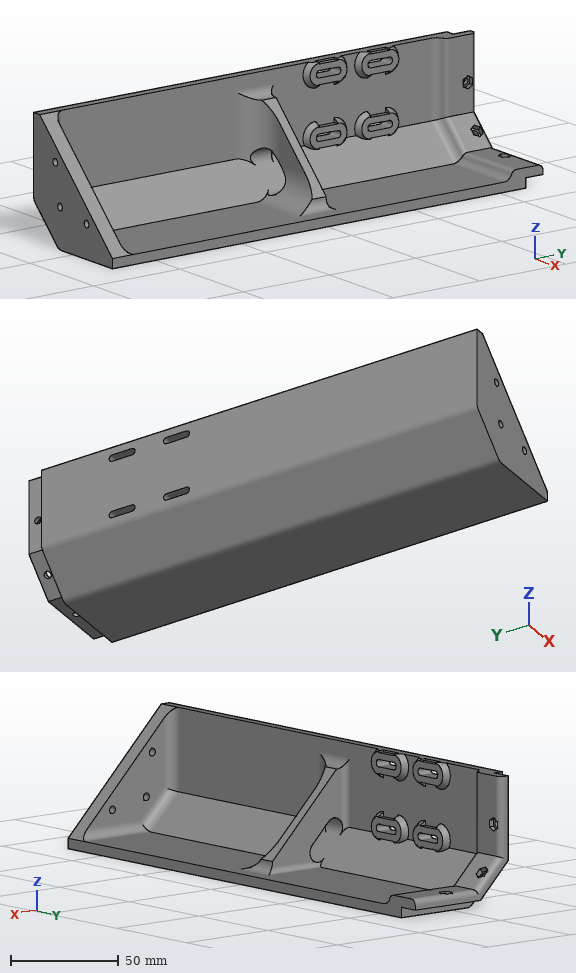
import cadquery as cq
import math

WIDTH = 62.07
HEIGHT = 62.1
LENGTH = 250.0
OUTER_FOLD = 20.0
OUTER_FOLD_RADIUS = 5.0

SKIN = 5.0
COLLAR = 2 * SKIN
COLLAR_LENGTH = 15.5
COLLAR_ROUND = 3.0
COLLAR_FILLET = 5.0
REBATE_LENGTH = 10.0

PLATE_THICKNESS = 8.0
PLATE_FILLET = 5.0
PLATE_HOLE_DIAMETER = 3.6
PLATE_HOLE_NEAR = 17.2
PLATE_HOLE_FAR = 41.7
PLATE_HOLE_MIDDLE = 20.9

RIB_FRONT = 128.0
RIB_THICKNESS = 5.0
RIB_FRONT_FILLET = 15.0
RIB_BACK_FILLET = 3.0
RIB_END = 50.0
RIB_END_FILLET = 5.0
RIB_CREST = 60.7
CABLE_SLOT_RADIUS = 5.0
CABLE_SLOT_SPACING = 14.0

SLOT_WIDTH = 3.5
SLOT_STRAIGHT = 10.7
SLOT_Y = (165.5, 195.5)
SLOT_Z = (25.5, 56.2)
PAD_HEIGHT = 3.0
PAD_BASE_RADIUS = 7.3
PAD_TOP_RADIUS = 5.4
PAD_BAR_HALF_HEIGHT = 5.0

SCREW_Y = LENGTH - REBATE_LENGTH / 2
SCREW_DIAMETER = 3.5
SCREW_ALONG_WALL = 39.0
NUT_ACROSS_FLATS = 5.5
NUT_DEPTH = 2.5

SQRT2 = math.sqrt(2)
ARC_SLACK = 1 - 1 / SQRT2
HALF_FOLD_ANGLE = math.radians(45 / 2)
HEX_SIDES = 6
BEYOND = 100.0


def fold_at(depth):
    """Corner distance of the 45 degree fold on a surface offset inward by depth."""
    return OUTER_FOLD + depth * math.tan(HALF_FOLD_ANGLE)


def extrude_along_y(sketch, start, end):
    """Extrude a sketch function drawn on an XZ workplane from y = start to y = end."""
    plane = cq.Workplane(cq.Plane((0, start, 0), (1, 0, 0), (0, -1, 0)))
    return sketch(plane).extrude(start - end)


def wall_plane(wall):
    """Plane whose local x runs along Y and whose local y points from a wall inward."""
    if wall == "floor":
        return cq.Plane((0, 0, 0), (0, 1, 0), (1, 0, 0))
    if wall == "side":
        return cq.Plane((0, 0, 0), (0, 1, 0), (0, 0, -1))
    return cq.Plane((OUTER_FOLD / 2, 0, OUTER_FOLD / 2), (0, 1, 0), (1, 0, -1))


def wall_prism(wall, profile):
    """Run a length-by-depth profile endlessly along one wall."""
    return profile(cq.Workplane(wall_plane(wall))).extrude(BEYOND, both=True)


def section(depth):
    """Sketch of the trough section, its three outer walls offset inward by depth."""
    fold = fold_at(depth)

    def sketch(plane):
        return plane.polyline([
            (depth, HEIGHT), (depth, fold), (fold, depth), (WIDTH, depth), (WIDTH, HEIGHT),
        ]).close()
    return sketch


def envelope():
    """Outer limits of the trough: rounded folds, and a smaller tongue at the +Y end."""
    body = extrude_along_y(section(0), 0, LENGTH - REBATE_LENGTH)
    for x, z in ((0, OUTER_FOLD), (OUTER_FOLD, 0)):
        corner = cq.selectors.NearestToPointSelector((x, LENGTH / 2, z))
        body = body.edges("|Y").edges(corner).fillet(OUTER_FOLD_RADIUS)
    tongue = extrude_along_y(section(SKIN), LENGTH - REBATE_LENGTH, LENGTH)
    return body.union(tongue)


def skin_profile(plane):
    """Wall thickness along Y: plain skin, an S-shaped rise, then the collar."""
    radii = COLLAR_FILLET + COLLAR_ROUND
    drop = radii - (COLLAR - SKIN)
    reach = math.sqrt(radii ** 2 - drop ** 2)
    collar_start = LENGTH - COLLAR_LENGTH
    fillet_start = collar_start - reach
    share = COLLAR_FILLET / radii
    turn = (fillet_start + reach * share, SKIN + COLLAR_FILLET - drop * share)
    half_angle = math.atan2(reach, drop) / 2
    fillet_middle = (
        fillet_start + COLLAR_FILLET * math.sin(half_angle),
        SKIN + COLLAR_FILLET * (1 - math.cos(half_angle)),
    )
    round_middle = (
        collar_start - COLLAR_ROUND * math.sin(half_angle),
        COLLAR - COLLAR_ROUND * (1 - math.cos(half_angle)),
    )
    end_middle = (
        LENGTH - COLLAR_ROUND * ARC_SLACK,
        COLLAR - COLLAR_ROUND * ARC_SLACK,
    )
    return (
        plane.moveTo(0, 0).lineTo(0, SKIN).lineTo(fillet_start, SKIN)
        .threePointArc(fillet_middle, turn)
        .threePointArc(round_middle, (collar_start, COLLAR))
        .lineTo(LENGTH - COLLAR_ROUND, COLLAR)
        .threePointArc(end_middle, (LENGTH, COLLAR - COLLAR_ROUND))
        .lineTo(LENGTH, 0).close()
    )


def upright_profile(front, back, front_fillet, back_fillet):
    """Profile of a plate standing on a wall, its base filleted at the back and, if given, the front."""
    def profile(plane):
        outline = plane.moveTo(back, BEYOND)
        outline = outline.lineTo(back, SKIN + back_fillet)
        slack = back_fillet * ARC_SLACK
        outline = outline.threePointArc((back + slack, SKIN + slack), (back + back_fillet, SKIN))
        outline = outline.lineTo(back + back_fillet, 0)
        if front_fillet:
            outline = outline.lineTo(front - front_fillet, 0).lineTo(front - front_fillet, SKIN)
            slack = front_fillet * ARC_SLACK
            outline = outline.threePointArc((front - slack, SKIN + slack), (front, SKIN + front_fillet))
        else:
            outline = outline.lineTo(front, 0)
        return outline.lineTo(front, BEYOND).close()
    return profile


def all_walls(walls, profile):
    """Union of one profile run along several walls."""
    solid = wall_prism(walls[0], profile)
    for wall in walls[1:]:
        solid = solid.union(wall_prism(wall, profile))
    return solid


def end_plate():
    """Plate closing the -Y end, its slanted edge joining the tips of the two walls."""
    plate = all_walls(
        ("floor", "slant", "side"), upright_profile(0, PLATE_THICKNESS, 0, PLATE_FILLET))
    tip = WIDTH + SKIN

    def triangle(plane):
        return plane.polyline([(0, 0), (tip, 0), (0, tip)]).close()
    return plate.intersect(extrude_along_y(triangle, 0, LENGTH))


def rib():
    """Cross rib with filleted feet, a slanted crest and a cable slot along the 45 degree wall."""
    back = RIB_FRONT + RIB_THICKNESS
    plate = all_walls(
        ("floor", "side"), upright_profile(RIB_FRONT, back, RIB_FRONT_FILLET, RIB_BACK_FILLET))
    foot = RIB_END + RIB_END_FILLET
    fillet_top = SKIN + RIB_END_FILLET
    slack = RIB_END_FILLET * ARC_SLACK
    crest_low = RIB_CREST - RIB_END

    def outline(plane):
        return (
            plane.moveTo(0, 0).lineTo(foot, 0).lineTo(foot, SKIN)
            .threePointArc((RIB_END + slack, SKIN + slack), (RIB_END, fillet_top))
            .lineTo(RIB_END, crest_low).lineTo(crest_low, RIB_END).lineTo(fillet_top, RIB_END)
            .threePointArc((SKIN + slack, RIB_END + slack), (SKIN, foot))
            .lineTo(0, foot).close()
        )
    shaped = plate.intersect(extrude_along_y(outline, 0, LENGTH))

    middle = (fold_at(SKIN) + SKIN) / 2 + CABLE_SLOT_RADIUS / SQRT2

    def cable_slot(plane):
        length = CABLE_SLOT_SPACING + 2 * CABLE_SLOT_RADIUS
        return plane.center(middle, middle).slot2D(length, 2 * CABLE_SLOT_RADIUS, -45)
    return shaped.cut(
        extrude_along_y(cable_slot, RIB_FRONT - RIB_FRONT_FILLET, back + RIB_BACK_FILLET))


def slot_pad(y, z):
    """Raised pad: a straight bar between two tapered half-round ends."""
    pad = cq.Workplane("XY").box(
        SKIN + PAD_HEIGHT, SLOT_STRAIGHT, 2 * PAD_BAR_HALF_HEIGHT, centered=(False, True, True)
    ).translate((0, y, z))
    half = SLOT_STRAIGHT / 2
    for side in (1, -1):
        end = (
            cq.Workplane(cq.Plane((0, y + side * half, z), (1, 0, 0), (0, -1, 0)))
            .polyline([
                (0, 0), (0, PAD_BASE_RADIUS), (SKIN, PAD_BASE_RADIUS),
                (SKIN + PAD_HEIGHT, PAD_TOP_RADIUS), (SKIN + PAD_HEIGHT, 0),
            ]).close()
            .revolve(180, (0, 0, 0), (-side, 0, 0))
        )
        pad = pad.union(end)
    return pad


def slot_cut(y, z):
    """Adjustment slot straight through the side wall and its pad."""
    return (
        cq.Workplane(cq.Plane((0, y, z), (0, 1, 0), (1, 0, 0)))
        .slot2D(SLOT_STRAIGHT + SLOT_WIDTH, SLOT_WIDTH).extrude(SKIN + 2 * PAD_HEIGHT)
    )


def screw_cut(plane):
    """Screw hole through the tongue with a hexagonal nut pocket on the inside face."""
    corner_diameter = NUT_ACROSS_FLATS / math.cos(math.pi / HEX_SIDES)
    hole = cq.Workplane(plane).circle(SCREW_DIAMETER / 2).extrude(COLLAR + SKIN)
    nut = (
        cq.Workplane(plane).workplane(offset=COLLAR - NUT_DEPTH)
        .polygon(HEX_SIDES, corner_diameter).extrude(NUT_DEPTH + SKIN)
    )
    return hole.union(nut)


def screw_cuts():
    """One screw hole in each of the three walls of the collar."""
    centre = OUTER_FOLD / 2
    cuts = screw_cut(cq.Plane((SCREW_ALONG_WALL, SCREW_Y, 0), (1, 0, 0), (0, 0, 1)))
    cuts = cuts.union(screw_cut(cq.Plane((0, SCREW_Y, SCREW_ALONG_WALL), (0, 0, 1), (1, 0, 0))))
    return cuts.union(screw_cut(cq.Plane((centre, SCREW_Y, centre), (1, 0, -1), (1, 0, 1))))


def plate_hole_cuts():
    """Three screw holes through the end plate."""
    places = [
        (PLATE_HOLE_NEAR, PLATE_HOLE_FAR),
        (PLATE_HOLE_FAR, PLATE_HOLE_NEAR),
        (PLATE_HOLE_MIDDLE, PLATE_HOLE_MIDDLE),
    ]

    def holes(plane):
        return plane.pushPoints(places).circle(PLATE_HOLE_DIAMETER / 2)
    return extrude_along_y(holes, 0, PLATE_THICKNESS + PLATE_FILLET)


part = all_walls(("floor", "slant", "side"), skin_profile).union(end_plate()).union(rib())
slot_places = [(y, z) for y in SLOT_Y for z in SLOT_Z]
for y, z in slot_places:
    part = part.union(slot_pad(y, z))
part = part.intersect(envelope())
for y, z in slot_places:
    part = part.cut(slot_cut(y, z))
result = part.cut(screw_cuts()).cut(plate_hole_cuts())